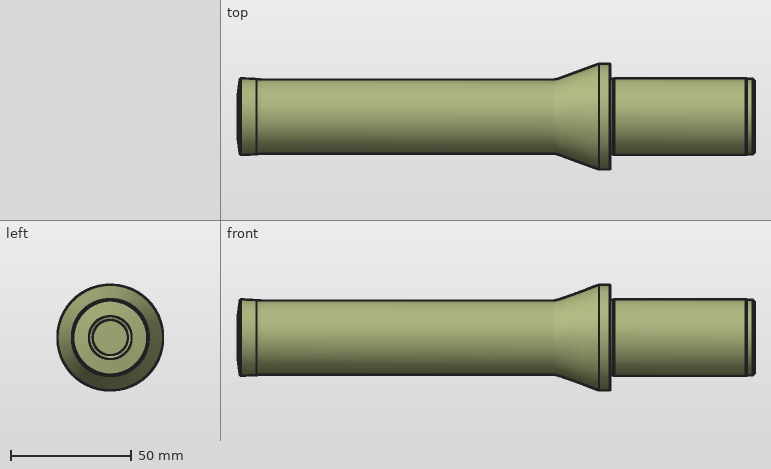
import cadquery as cq

head_dia = 32.0
head_rear_dia = 31.4
neck_dia = 31.0
flange_dia = 44.0
shank_dia = 32.0
relief_dia = 31.5
face_dia = 30.7
recess_rim_dia = 17.8
recess_lip_dia = 16.3
recess_floor_dia = 14.6

total_length = 215.0
face_rise = 0.9
head_bevel_end = 1.5
head_end = 8.0
collar_end = 9.9
neck_end = 131.5
cone_start = 133.5
cone_end = 149.0
flange_start = 150.3
flange_end = 155.0
undercut_end = 156.0
shank_start = 156.7
shank_end = 211.1
rear_land_start = 211.8

recess_lip_depth = 0.2
recess_depth = 0.6
cone_root_rise = 0.5
flange_edge_drop = 0.5
flange_chamfer = 0.5
rear_chamfer = 1.0


def revolve_about_x(profile):
    """Turn a closed (x, radius) profile about the X axis."""
    return profile.close().revolve(360, (0, 0, 0), (1, 0, 0))


def make_cutting_head():
    """Short front head with a shallow dished recess in its flat-cone face."""
    profile = (
        cq.Workplane("XY")
        .moveTo(recess_depth, 0)
        .lineTo(recess_depth, recess_floor_dia / 2)
        .lineTo(recess_lip_depth, recess_lip_dia / 2)
        .lineTo(0, recess_rim_dia / 2)
        .lineTo(face_rise, face_dia / 2)
        .lineTo(head_bevel_end, head_dia / 2)
        .lineTo(head_end, head_rear_dia / 2)
        .lineTo(head_end, 0)
    )
    return revolve_about_x(profile)


def make_holder():
    """Neck, conical flange and shank, turned as one piece behind the head."""
    neck_radius = neck_dia / 2
    flange_radius = flange_dia / 2
    shank_radius = shank_dia / 2
    relief_radius = relief_dia / 2
    profile = (
        cq.Workplane("XY")
        .moveTo(head_end, 0)
        .lineTo(head_end, head_rear_dia / 2)
        .lineTo(collar_end, neck_radius)
        .lineTo(neck_end, neck_radius)
        .lineTo(cone_start, neck_radius + cone_root_rise)
        .lineTo(cone_end, flange_radius - flange_edge_drop)
        .lineTo(flange_start, flange_radius)
        .lineTo(flange_end - flange_chamfer, flange_radius)
        .lineTo(flange_end, flange_radius - flange_chamfer)
        .lineTo(flange_end, relief_radius)
        .lineTo(undercut_end, relief_radius)
        .lineTo(shank_start, shank_radius)
        .lineTo(shank_end, shank_radius)
        .lineTo(rear_land_start, relief_radius)
        .lineTo(total_length - rear_chamfer, relief_radius)
        .lineTo(total_length, relief_radius - rear_chamfer)
        .lineTo(total_length, 0)
    )
    return revolve_about_x(profile)


cutting_head = make_cutting_head()
holder = make_holder()

result = cq.Compound.makeCompound([cutting_head.val(), holder.val()])